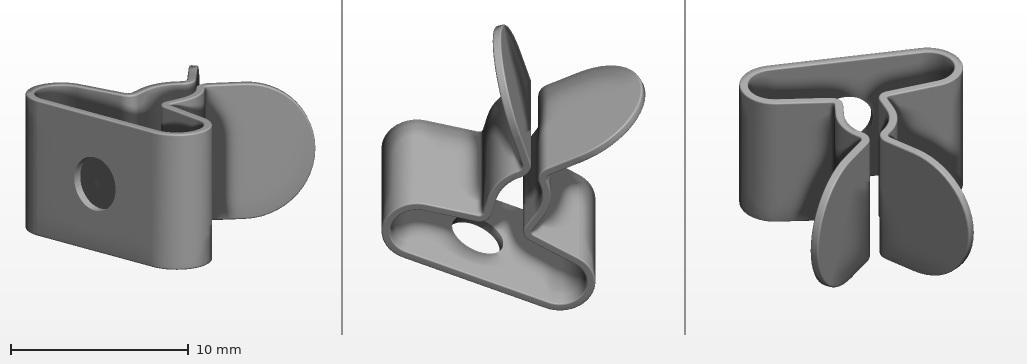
import cadquery as cq
import math

strip_thickness = 0.5
strip_height = 8.0
overall_width = 12.8
overall_depth = 13.56
edge_radius = 0.1
hole_diameter = 3.15

base_outer_radius = 2.01
shoulder_slope = math.radians(9)
shoulder_inner_radius = 0.19
grip_inner_radius = 2.36
grip_half_width = 1.23
grip_centre_y = 6.18
neck_half_gap = 0.3
neck_inner_radius = 0.37
flare_angle = math.radians(40)

touching_distance = 0.001

half_thickness = strip_thickness / 2
tab_radius = strip_height / 2


def polar(centre, radius, angle):
    return (centre[0] + radius * math.cos(angle), centre[1] + radius * math.sin(angle))


base_radius = base_outer_radius - half_thickness
shoulder_radius = shoulder_inner_radius + half_thickness
grip_radius = grip_inner_radius + half_thickness
neck_radius = neck_inner_radius + half_thickness

base_centre = (overall_width / 2 - base_outer_radius, base_outer_radius)
grip_centre = (grip_half_width - grip_inner_radius, grip_centre_y)

across_leg = (math.cos(shoulder_slope), -math.sin(shoulder_slope))
along_leg = (math.sin(shoulder_slope), math.cos(shoulder_slope))


def offset_along(point, direction):
    return point[0] * direction[0] + point[1] * direction[1]


shoulder_across = offset_along(grip_centre, across_leg) + grip_radius + shoulder_radius
shoulder_along = offset_along(base_centre, along_leg) + base_radius + shoulder_radius
shoulder_centre = (
    shoulder_across * across_leg[0] + shoulder_along * along_leg[0],
    shoulder_across * across_leg[1] + shoulder_along * along_leg[1],
)

neck_centre_x = neck_half_gap + strip_thickness + neck_inner_radius
neck_angle = math.acos((neck_centre_x - grip_centre[0]) / (grip_radius + neck_radius))
neck_centre = polar(grip_centre, grip_radius + neck_radius, neck_angle)

tab_direction = math.pi / 2 - flare_angle
tab_normal = tab_direction + math.pi / 2
tab_start = polar(neck_centre, neck_radius, tab_normal)
tip_reach = (
    (tab_radius - edge_radius) * math.cos(flare_angle)
    + (half_thickness - edge_radius) * math.sin(flare_angle)
    + edge_radius
)
tab_end_centre_y = overall_depth - tip_reach
tab_straight = (tab_end_centre_y - tab_start[1]) / math.cos(flare_angle)
tab_end_centre = polar(tab_start, tab_straight, tab_direction)

leg_bends = [
    (base_centre, base_radius, -math.pi / 2, math.pi / 2 - shoulder_slope, 1),
    (shoulder_centre, shoulder_radius, 3 * math.pi / 2 - shoulder_slope, math.pi - shoulder_slope, -1),
    (grip_centre, grip_radius, -shoulder_slope, neck_angle, 1),
    (neck_centre, neck_radius, math.pi + neck_angle, tab_normal, -1),
]


def draw_face(outline, arcs):
    """Extend the outline by (start, middle, end) arcs, joined by lines where they don't touch."""
    last_point = None
    for start, middle, end in arcs:
        if last_point is None or math.dist(last_point, start) > touching_distance:
            outline = outline.lineTo(*start)
        outline = outline.threePointArc(middle, end)
        last_point = end
    return outline


def face_arcs(outward):
    """Bend arcs of the leg's face lying the given distance outward of the mid-line, base to neck."""
    arcs = []
    for centre, radius, start, end, side in leg_bends:
        face_radius = radius + side * outward
        angles = (start, (start + end) / 2, end)
        arcs.append([polar(centre, face_radius, angle) for angle in angles])
    return arcs


def bent_half():
    """Right half of the bent strip, up to the centre of the tab's round end."""
    outer_arcs = face_arcs(half_thickness)
    inner_arcs = face_arcs(-half_thickness)
    inner_arcs_back = [arc[::-1] for arc in reversed(inner_arcs)]
    outline = draw_face(cq.Workplane("XY").moveTo(0, 0), outer_arcs)
    outline = outline.lineTo(*polar(tab_end_centre, -half_thickness, tab_normal))
    outline = outline.lineTo(*polar(tab_end_centre, half_thickness, tab_normal))
    outline = draw_face(outline, inner_arcs_back)
    return outline.lineTo(0, strip_thickness).close().extrude(strip_height)


def round_tab_end():
    """Half disc that ends the tab, lying in the plane of the tab."""
    plane = cq.Plane(
        origin=(*tab_end_centre, strip_height / 2),
        xDir=(*polar((0, 0), 1, tab_direction), 0),
        normal=(*polar((0, 0), 1, tab_normal), 0),
    )
    return (
        cq.Workplane(plane)
        .moveTo(0, -tab_radius)
        .threePointArc((tab_radius, 0), (0, tab_radius))
        .close()
        .extrude(half_thickness, both=True)
    )


right_half = bent_half().union(round_tab_end())
clip = right_half.union(right_half.mirror("YZ")).clean()

clip = clip.faces(">Z").edges("|X").fillet(edge_radius)

mounting_hole = (
    cq.Workplane("XZ")
    .center(0, strip_height / 2)
    .circle(hole_diameter / 2)
    .extrude(-2 * strip_thickness)
)

result = clip.cut(mounting_hole)